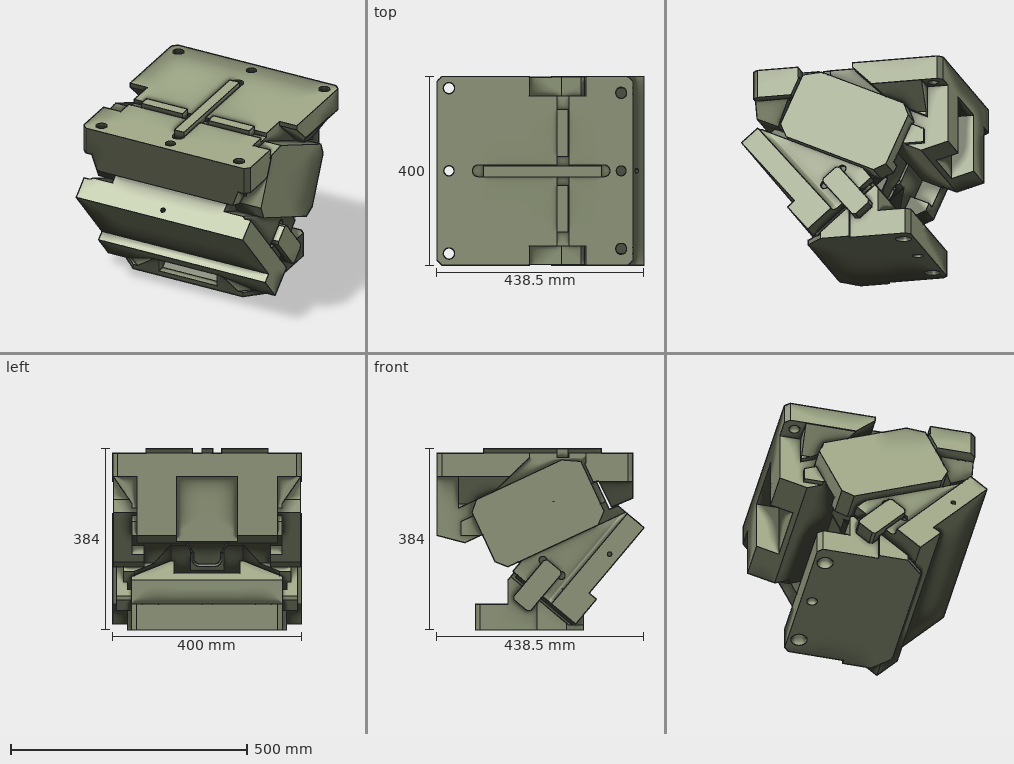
import cadquery as cq
import math


LENGTH = 438.5
HALF_WIDTH = 200.0
KEY_TOP = 384.0
KEY_RISE = 9.0
HEAD_TOP = KEY_TOP - KEY_RISE
REACH = 3 * LENGTH

RAMP_ANGLE = math.radians(25)
RAMP_ORIGIN = (172.0, 145.0)

ROOF_ANGLE = math.radians(40)
ROOF_ORIGIN = (160.5, 124.0)

CONTACT_D = 83.5
FLANGE_D = 37.0
FLANGE_HALF = 159.0
WEB_HALF = 134.0
CHANNEL_END_S = 184.2
TONGUE_GAP = 4.0
VEE_OUTER_HALF = 153.5
VEE_INNER_HALF = 76.5
VEE_HEIGHT = 40.5
VEE_ANGLE = math.atan2(VEE_HEIGHT, VEE_OUTER_HALF - VEE_INNER_HALF)
VEE_GAP = 8.0

PLATE_LENGTH = 414.5
PLATE_BOTTOM_LEFT = 324.5
PLATE_BOTTOM_RIGHT = 314.5
PLATE_CHAMFER = 10.5
BLOCK_HALF = 148.5
BLOCK_BOTTOM = 200.0
BLOCK_LOW_S = -85.5
HEAD_FLANGE_D = 127.5
KEEPER_LOW_D = -1.5
KEEPER_HIGH_D = 155.7
KEEPER_START_S = -44.7
KEEPER_END_S = 209.5
KEEPER_HALF = 198.3
NOTCH_END_S = 215.0
TAIL_S = 226.5
SLOT_WIDTH = 25.0
SLOT_DEPTH = 9.0
SLOT_FLOOR = HEAD_TOP - SLOT_DEPTH
CROSS_SLOT_X = 254.5
KEY_WIDTH = 23.2

SLIDE_U = 249.5
SLIDE_END_S = 221.5
TOOL_PLATE_W = 107.0
NECK_HALF = 177.0
NECK_FILLET = 12.7
HOOK_START_W = 35.5
HOOK_END_W = 82.5
HOOK_TOP_U = 66.0
HOOK_INNER = 169.0

BASE_START_X = 81.0
BASE_END_X = 310.5
BASE_TOP = 55.0
COLUMN_X = 150.0
DRIVER_FACE_W = 3.75
DRIVER_HALF = 168.5
COLUMN_HALF = 159.5
RELIEF_END_X = 212.0


def ramp(s, d):
    """X, Z of a point given along and above the ramp."""
    x = RAMP_ORIGIN[0] + s * math.cos(RAMP_ANGLE) - d * math.sin(RAMP_ANGLE)
    z = RAMP_ORIGIN[1] + s * math.sin(RAMP_ANGLE) + d * math.cos(RAMP_ANGLE)
    return (x, z)


def roof(w, u):
    """X, Z of a point given along and above the roof."""
    x = ROOF_ORIGIN[0] + w * math.cos(ROOF_ANGLE) + u * math.sin(ROOF_ANGLE)
    z = ROOF_ORIGIN[1] - w * math.sin(ROOF_ANGLE) + u * math.cos(ROOF_ANGLE)
    return (x, z)


def ramp_section(s):
    """Workplane across the ramp at s, with local axes Y and d."""
    x, z = ramp(s, 0)
    up_ramp = (math.cos(RAMP_ANGLE), 0, math.sin(RAMP_ANGLE))
    return cq.Workplane(cq.Plane((x, 0, z), (0, 1, 0), up_ramp))


def roof_section(w):
    """Workplane across the roof at w, with local axes Y and u."""
    x, z = roof(w, 0)
    down_roof = (math.cos(ROOF_ANGLE), 0, -math.sin(ROOF_ANGLE))
    return cq.Workplane(cq.Plane((x, 0, z), (0, 1, 0), down_roof))


def roof_plan():
    """Workplane on the slide's lower end face, with local axes w and Y, facing up u."""
    x, z = roof(0, 0)
    down_roof = (math.cos(ROOF_ANGLE), 0, -math.sin(ROOF_ANGLE))
    off_roof = (math.sin(ROOF_ANGLE), 0, math.cos(ROOF_ANGLE))
    return cq.Workplane(cq.Plane((x, 0, z), down_roof, off_roof))


def slab(points, half_width):
    """Solid with an X-Z outline, centred on Y = 0."""
    return cq.Workplane("XZ").polyline(points).close().extrude(half_width, both=True)


def side_pair(points, inner, outer):
    """Two mirrored solids with an X-Z outline, lying between inner and outer in |Y|."""
    near = cq.Workplane("XZ", origin=(0, -inner, 0)).polyline(points).close().extrude(outer - inner)
    return near.union(near.mirror("XZ"))


def block(x_start, x_end, half_width, z_low, z_high):
    """Upright box centred on Y = 0."""
    return slab([(x_start, z_low), (x_end, z_low), (x_end, z_high), (x_start, z_high)], half_width)


def ramp_outline(s_start, s_end, d_low, d_high):
    """Corners of a rectangle lying along the ramp."""
    return [ramp(s_start, d_low), ramp(s_end, d_low), ramp(s_end, d_high), ramp(s_start, d_high)]


def roof_outline(w_start, w_end, u_low, u_high):
    """Corners of a rectangle lying along the roof."""
    return [roof(w_start, u_low), roof(w_end, u_low), roof(w_end, u_high), roof(w_start, u_high)]


def mirrored(points):
    """Closed outline symmetric about the local vertical axis, from its right half."""
    return points + [(-y, height) for y, height in reversed(points)]


def bore(x, y, z_top, diameter, depth):
    """Vertical round cutter going down from z_top."""
    return cq.Workplane("XY", origin=(x, y, z_top)).circle(diameter / 2).extrude(-depth)


def tongue_bar(start_s, end_s, gap):
    """Round-bottomed bar with flared sides along the ramp, smaller by gap all round."""
    floor_d = -12.0 + gap
    half = 32.0 - gap
    corner = 17.5 - gap
    shoulder_d = 17.5
    flare_d = 43.0
    top_half = 46.0 - gap
    bend = corner * (1 - math.sqrt(0.5))
    profile = (
        ramp_section(start_s)
        .moveTo(-half + corner, floor_d)
        .lineTo(half - corner, floor_d)
        .threePointArc((half - bend, floor_d + bend), (half, floor_d + corner))
        .lineTo(half, shoulder_d)
        .lineTo(top_half, flare_d)
        .lineTo(top_half, CONTACT_D)
        .lineTo(-top_half, CONTACT_D)
        .lineTo(-top_half, flare_d)
        .lineTo(-half, shoulder_d)
        .lineTo(-half, floor_d + corner)
        .threePointArc((-half + bend, floor_d + bend), (-half + corner, floor_d))
        .close()
    )
    return profile.extrude(end_s - start_s)


def head_plate():
    """Top plate with chamfered corners, thicker beyond the keepers."""
    plate = block(0, PLATE_LENGTH, HALF_WIDTH, PLATE_BOTTOM_LEFT, HEAD_TOP)
    thick_zone = block(0, PLATE_LENGTH, HALF_WIDTH, PLATE_BOTTOM_RIGHT, HEAD_TOP)
    beyond_keepers = slab(ramp_outline(NOTCH_END_S, REACH, -REACH, REACH), HALF_WIDTH)
    plan = block(0, PLATE_LENGTH, HALF_WIDTH, 0, HEAD_TOP).edges("|Z").chamfer(PLATE_CHAMFER)
    return plate.union(thick_zone.intersect(beyond_keepers)).intersect(plan)


def head_block():
    """Block under the plate, ending on the sliding face."""
    right_x = ramp(TAIL_S, CONTACT_D)[0]
    outline = [(0, BLOCK_BOTTOM), ramp(BLOCK_LOW_S, CONTACT_D), ramp(TAIL_S, CONTACT_D),
               (right_x, PLATE_BOTTOM_LEFT), (0, PLATE_BOTTOM_LEFT)]
    return slab(outline, BLOCK_HALF)


def front_recess():
    """Open-bottomed recess in the end face of the block."""
    depth = 48.3
    half_width = 64.5
    return block(0, depth, half_width, 0, PLATE_BOTTOM_LEFT)


def head_rails():
    """Wider rails along the sliding face, below the keeper keys."""
    start_x = 51.5
    rails = slab(ramp_outline(-LENGTH, TAIL_S, CONTACT_D, HEAD_FLANGE_D), FLANGE_HALF)
    return rails.intersect(block(start_x, LENGTH, FLANGE_HALF, BLOCK_BOTTOM, HEAD_TOP))


def head_gussets():
    """Sloped haunches between plate and block, ending on top of the keepers."""
    start_x = 45.0
    slope_low_z = 267.0
    end_x = ramp(NOTCH_END_S, HEAD_FLANGE_D)[0]
    section = mirrored([(FLANGE_HALF, BLOCK_BOTTOM), (FLANGE_HALF, slope_low_z),
                        (KEEPER_HALF, PLATE_BOTTOM_LEFT)])
    haunches = cq.Workplane("YZ", origin=(start_x, 0, 0)).polyline(section).close().extrude(end_x - start_x)
    return haunches.intersect(slab(ramp_outline(-LENGTH, LENGTH, KEEPER_HIGH_D, LENGTH), HALF_WIDTH))


def head_tail():
    """Stop behind the slide, with drafted sides."""
    low_x, low_z = 370.0, 260.0
    end_z = 279.0
    top_half = 175.5
    side_draft = math.radians(20)
    low_half = top_half - (PLATE_BOTTOM_RIGHT - low_z) * math.tan(side_draft)
    top_x = ramp(TAIL_S, CONTACT_D)[0]
    tail = slab([ramp(TAIL_S, CONTACT_D), (low_x, low_z), (PLATE_LENGTH, end_z),
                 (PLATE_LENGTH, PLATE_BOTTOM_LEFT), (top_x, PLATE_BOTTOM_LEFT)], top_half)
    section = mirrored([(low_half, low_z), (top_half, PLATE_BOTTOM_RIGHT), (top_half, PLATE_BOTTOM_LEFT)])
    return tail.intersect(cq.Workplane("YZ").polyline(section).close().extrude(PLATE_LENGTH))


def keeper_notches():
    """Openings in the sides of the head around the keepers."""
    left_x, left_z = 195.5, 364.5
    right_x, right_z = 315.5, 354.0
    diagonal_foot_s = 17.5
    outline = [
        (left_x, KEY_TOP), (left_x, left_z), ramp(diagonal_foot_s, KEEPER_HIGH_D),
        ramp(diagonal_foot_s, CONTACT_D), ramp(NOTCH_END_S, CONTACT_D),
        ramp(NOTCH_END_S, HEAD_FLANGE_D), (right_x, right_z), (right_x, KEY_TOP)]
    return side_pair(outline, FLANGE_HALF, HALF_WIDTH)


def keepers():
    """Side plates with a lip under the slide flange and a key into the head."""
    left_run = 20.0
    low_right_run = 23.5
    high_right_run = 36.0
    low_rise = 21.0
    high_rise = 20.0
    outline = [
        ramp(KEEPER_START_S, KEEPER_LOW_D + low_rise),
        ramp(KEEPER_START_S + left_run, KEEPER_LOW_D),
        ramp(KEEPER_END_S - low_right_run, KEEPER_LOW_D),
        ramp(KEEPER_END_S, KEEPER_LOW_D + low_rise),
        ramp(KEEPER_END_S, KEEPER_HIGH_D - high_rise),
        ramp(KEEPER_END_S - high_right_run, KEEPER_HIGH_D),
        ramp(KEEPER_START_S + left_run, KEEPER_HIGH_D),
        ramp(KEEPER_START_S, KEEPER_HIGH_D - high_rise)]
    lip_zone = slab(ramp_outline(-LENGTH, LENGTH, KEEPER_LOW_D, FLANGE_D), HALF_WIDTH)
    key_zone = slab(ramp_outline(-LENGTH, LENGTH, HEAD_FLANGE_D, KEEPER_HIGH_D), HALF_WIDTH)
    plates = side_pair(outline, FLANGE_HALF, KEEPER_HALF)
    lips = side_pair(outline, WEB_HALF, KEEPER_HALF).intersect(lip_zone)
    keys = side_pair(outline, BLOCK_HALF, KEEPER_HALF).intersect(key_zone)
    return plates.union(lips).union(keys)


def key_slots():
    """Round-ended slot along X and the straight slot crossing it."""
    start_x, end_x = 75.0, 366.5
    long_slot = (
        cq.Workplane("XY", origin=((start_x + end_x) / 2, 0, SLOT_FLOOR))
        .slot2D(end_x - start_x, SLOT_WIDTH)
        .extrude(SLOT_DEPTH)
    )
    return long_slot.union(block(CROSS_SLOT_X, CROSS_SLOT_X + SLOT_WIDTH, FLANGE_HALF, SLOT_FLOOR, HEAD_TOP))


def top_keys():
    """One key along X and a pair across it, each against one wall of its slot."""
    start_x, end_x = 98.5, 348.0
    inner_y, outer_y = 30.5, 129.5
    long_key = (
        block(start_x, end_x, KEY_WIDTH / 2, SLOT_FLOOR, KEY_TOP)
        .translate((0, (KEY_WIDTH - SLOT_WIDTH) / 2, 0))
    )
    cross_outline = [(CROSS_SLOT_X, SLOT_FLOOR), (CROSS_SLOT_X + KEY_WIDTH, SLOT_FLOOR),
                     (CROSS_SLOT_X + KEY_WIDTH, KEY_TOP), (CROSS_SLOT_X, KEY_TOP)]
    return long_key.union(side_pair(cross_outline, inner_y, outer_y))


def head_bores():
    """Screw holes near the corners with a dowel hole between each pair."""
    screw, dowel = 23.2, 21.0
    rows = [
        (25.5, 175.0, HEAD_TOP - PLATE_BOTTOM_LEFT),
        (390.0, 165.0, HEAD_TOP - PLATE_BOTTOM_RIGHT),
    ]
    cutters = cq.Workplane("XY")
    for x, screw_y, depth in rows:
        for y, diameter in ((-screw_y, screw), (0, dowel), (screw_y, screw)):
            cutters = cutters.add(bore(x, y, HEAD_TOP, diameter, depth))
    return cutters.combine()


def head_body():
    head = head_plate().union(head_block()).union(head_rails()).union(head_gussets()).union(head_tail())
    head = head.cut(keeper_notches()).union(keepers())
    head = head.cut(key_slots()).union(top_keys())
    head = head.cut(front_recess()).cut(head_bores())
    return head.union(tongue_bar(TONGUE_GAP, CHANNEL_END_S - TONGUE_GAP, TONGUE_GAP))


def slide_neck():
    """Lower body below the keepers, blended into the tool plate by fillets."""
    shoulder_d = -1.8
    fillet_w = TOOL_PLATE_W - NECK_FILLET
    foot_half = NECK_HALF + NECK_FILLET
    bend = NECK_FILLET * (1 - math.sqrt(0.5))
    neck = (
        roof_plan()
        .moveTo(0, -NECK_HALF)
        .lineTo(fillet_w, -NECK_HALF)
        .threePointArc((TOOL_PLATE_W - bend, -NECK_HALF - bend), (TOOL_PLATE_W, -foot_half))
        .lineTo(TOOL_PLATE_W, foot_half)
        .threePointArc((TOOL_PLATE_W - bend, NECK_HALF + bend), (fillet_w, NECK_HALF))
        .lineTo(0, NECK_HALF)
        .close()
        .extrude(SLIDE_U)
    )
    return neck.intersect(slab(ramp_outline(-LENGTH, LENGTH, -LENGTH, shoulder_d), HALF_WIDTH))


def tool_plate():
    """Wide plate with the tool mounting face and a foot at its lower end."""
    end_w = (LENGTH - roof(0, SLIDE_U)[0]) / math.cos(ROOF_ANGLE)
    foot_w = 173.5
    foot_u = 69.0
    plate = slab(roof_outline(TOOL_PLATE_W, end_w, 0, SLIDE_U), HALF_WIDTH)
    return plate.union(slab(roof_outline(TOOL_PLATE_W, foot_w, 0, foot_u), HALF_WIDTH))


def slide_top():
    """Web between the keeper lips, and the flange running under the head."""
    shelf_d = 19.0
    shelf_end_w = 81.0
    web = slab(
        [ramp(0, 0), roof(TOOL_PLATE_W, 0), roof(TOOL_PLATE_W, SLIDE_U), roof(shelf_end_w, SLIDE_U),
         ramp(SLIDE_END_S, shelf_d), ramp(SLIDE_END_S, FLANGE_D), ramp(0, FLANGE_D)], WEB_HALF)
    return web.union(slab(ramp_outline(0, SLIDE_END_S, FLANGE_D, CONTACT_D), FLANGE_HALF))


def slide_vee():
    """Inverted vee over the driver, with a lower flat ceiling in the middle."""
    ceiling_u = 39.0
    section = mirrored([(VEE_OUTER_HALF, -LENGTH), (VEE_OUTER_HALF, 0), (VEE_INNER_HALF, VEE_HEIGHT),
                        (VEE_INNER_HALF, ceiling_u)])
    return roof_section(-LENGTH).polyline(section).close().extrude(REACH)


def vee_liners():
    """Wear strips on both flanks of the vee, with square outer edges."""
    start_w, end_w = 12.5, 168.5
    thickness = 6.5
    outer_edge = (VEE_OUTER_HALF - thickness * math.sin(VEE_ANGLE), -thickness * math.cos(VEE_ANGLE))
    inner_low_u = VEE_HEIGHT - thickness / math.cos(VEE_ANGLE)
    flank = [(VEE_OUTER_HALF, 0), outer_edge, (VEE_INNER_HALF, inner_low_u), (VEE_INNER_HALF, VEE_HEIGHT)]
    liner = roof_section(start_w).polyline(flank).close().extrude(end_w - start_w)
    return liner.union(liner.mirror("XZ"))


def channel_boss():
    """Wall around the channel where it breaks out through the vee."""
    half_width = 35.5
    bottom_d = -21.5
    length = 79.0
    return slab(ramp_outline(0, length, bottom_d, FLANGE_D), half_width)


def hook_reliefs():
    """Round clearances in the neck at the upper corners of the hooks."""
    radius = 8.5
    overhang = 1.8
    drop = 6.5
    cutters = cq.Workplane("XY")
    for w in (HOOK_START_W - overhang, HOOK_END_W + overhang):
        x, z = roof(w, HOOK_TOP_U - drop)
        pin = cq.Workplane("XZ", origin=(x, -HOOK_INNER, z)).circle(radius).extrude(NECK_HALF - HOOK_INNER)
        cutters = cutters.add(pin).add(pin.mirror("XZ"))
    return cutters.combine()


def hooks():
    """Return plates on both sides, with an inward lip beside the driver's column."""
    low_u = -44.5
    lip_u = -19.7
    outer = 191.5
    corner = 5.5
    plates = side_pair(roof_outline(HOOK_START_W, HOOK_END_W, low_u, HOOK_TOP_U), HOOK_INNER, outer)
    lips = side_pair(roof_outline(HOOK_START_W, HOOK_END_W, low_u, lip_u), COLUMN_HALF, HOOK_INNER)
    envelope = slab(roof_outline(HOOK_START_W, HOOK_END_W, low_u, HOOK_TOP_U), outer)
    envelope = envelope.edges("|Y").chamfer(corner)
    return plates.union(lips).intersect(envelope)


def oil_holes():
    """Cross hole in the side of the tool plate and a hole in its upper end."""
    diameter = 9.5
    depth = 26.5
    hole_w = 133.5
    cross_u = 159.5
    x, z = roof(hole_w, cross_u)
    cross = cq.Workplane("XZ", origin=(x, -HALF_WIDTH, z)).circle(diameter / 2).extrude(-depth)
    end = (
        roof_plan().workplane(offset=SLIDE_U)
        .center(hole_w, 0).circle(diameter / 2).extrude(-depth)
    )
    return cross.union(end)


def slide_body():
    slide = slide_neck().union(tool_plate()).union(slide_top())
    slide = slide.cut(slide_vee()).union(vee_liners())
    slide = slide.union(channel_boss()).cut(tongue_bar(-TONGUE_GAP, CHANNEL_END_S, 0))
    return slide.cut(hook_reliefs()).union(hooks()).cut(oil_holes())


def driver_profile():
    """Base, column and upper end face, left open above for the roof."""
    face_low_u = (COLUMN_X - roof(DRIVER_FACE_W, 0)[0]) / math.sin(ROOF_ANGLE)
    outline = [
        (BASE_START_X, 0), (BASE_END_X, 0), (BASE_END_X, KEY_TOP), roof(DRIVER_FACE_W, LENGTH),
        roof(DRIVER_FACE_W, face_low_u), (COLUMN_X, BASE_TOP), (BASE_START_X, BASE_TOP)]
    return slab(outline, DRIVER_HALF)


def driver_roof():
    """Space under the vee roof, with a flat-bottomed channel along its ridge."""
    channel_half = 69.7
    channel_floor_u = -1.8
    eaves_u = -VEE_GAP - (COLUMN_HALF - VEE_OUTER_HALF) * math.tan(VEE_ANGLE)
    ridge_u = VEE_HEIGHT - VEE_GAP
    section = mirrored([
        (DRIVER_HALF, -LENGTH), (DRIVER_HALF, eaves_u), (COLUMN_HALF, eaves_u), (VEE_INNER_HALF, ridge_u),
        (channel_half, ridge_u), (channel_half, channel_floor_u)])
    return roof_section(-LENGTH).polyline(section).close().extrude(REACH)


def driver_sole():
    """Flat ledge where the roof runs down to the base."""
    height = 10.5
    return block(RELIEF_END_X, BASE_END_X, DRIVER_HALF, 0, height)


def driver_plan():
    """Upright outline: narrow beside the hooks, with four chamfered corners."""
    front_chamfer = 10.0
    rear_chamfer = 37.0
    plan = [
        (BASE_START_X, 0), (BASE_START_X, COLUMN_HALF - front_chamfer),
        (BASE_START_X + front_chamfer, COLUMN_HALF), (RELIEF_END_X, COLUMN_HALF),
        (RELIEF_END_X, DRIVER_HALF), (BASE_END_X - rear_chamfer, DRIVER_HALF),
        (BASE_END_X, DRIVER_HALF - rear_chamfer), (BASE_END_X, 0)]
    far_half = cq.Workplane("XY").polyline(plan).close().extrude(KEY_TOP)
    return far_half.union(far_half.mirror("XZ"))


def base_bores():
    """Two screw holes in the base with a dowel hole between them."""
    screw, dowel = 33.8, 22.5
    screw_y = 119.8
    x = BASE_START_X + 24.0
    cutters = cq.Workplane("XY")
    for y, diameter in ((-screw_y, screw), (0, dowel), (screw_y, screw)):
        cutters = cutters.add(bore(x, y, BASE_TOP, diameter, BASE_TOP))
    return cutters.combine()


def driver_body():
    driver = driver_profile().intersect(driver_roof()).union(driver_sole())
    return driver.intersect(driver_plan()).cut(base_bores())


head = head_body()
slide = slide_body()
driver = driver_body()

result = cq.Compound.makeCompound([head.solids().val(), slide.solids().val(), driver.solids().val()])